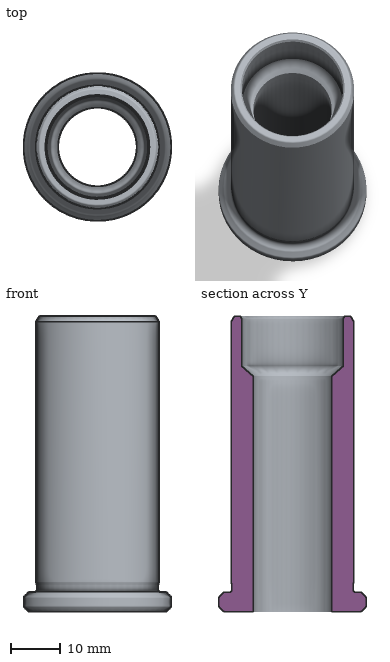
import cadquery as cq
import math

total_height = 60.0
flange_radius = 30.0 / 2
body_radius = 25.0 / 2
neck_radius = 24.7 / 2
bore_radius = 15.9 / 2
counterbore_radius = 20.5 / 2

flange_height = 4.1
flange_chamfer = 1.1
flange_edge_round = 0.5
neck_fillet = 0.35
neck_top = 5.6
body_bottom = 6.1

mouth_chamfer_height = 1.2
mouth_chamfer_width = mouth_chamfer_height * math.tan(math.radians(30))
mouth_edge_round = 0.35
counterbore_depth = 10.15
cone_depth = 12.2
lip_chamfer_width = 0.3
lip_chamfer_height = lip_chamfer_width / math.tan(math.radians(30))

counterbore_floor = total_height - counterbore_depth
cone_bottom = total_height - cone_depth


def flange():
    """Disc with equal chamfers above and below, all their corners softened."""
    chamfer_top = flange_height - flange_chamfer
    face_radius = flange_radius - flange_chamfer
    tangent = flange_edge_round * math.tan(math.radians(45) / 2)
    diagonal = tangent * math.sin(math.radians(45))
    return (
        cq.Workplane("XZ")
        .lineTo(face_radius - tangent, 0)
        .radiusArc((face_radius + diagonal, diagonal), -flange_edge_round)
        .lineTo(flange_radius - diagonal, flange_chamfer - diagonal)
        .radiusArc((flange_radius, flange_chamfer + tangent), -flange_edge_round)
        .lineTo(flange_radius, chamfer_top - tangent)
        .radiusArc((flange_radius - diagonal, chamfer_top + diagonal), -flange_edge_round)
        .lineTo(face_radius + diagonal, flange_height - diagonal)
        .radiusArc((face_radius - tangent, flange_height), -flange_edge_round)
        .lineTo(0, flange_height)
        .close()
        .revolve(360, (0, 0, 0), (0, 1, 0))
    )


def tube():
    """Relief neck, main cylinder and softened mouth chamfer."""
    mouth_radius = body_radius - mouth_chamfer_width
    mouth_bottom = total_height - mouth_chamfer_height
    tangent = mouth_edge_round * math.tan(math.radians(60) / 2)
    round_start = (
        mouth_radius + tangent * math.sin(math.radians(30)),
        total_height - tangent * math.cos(math.radians(30)),
    )
    return (
        cq.Workplane("XZ")
        .moveTo(0, flange_height)
        .lineTo(neck_radius + neck_fillet, flange_height)
        .radiusArc((neck_radius, flange_height + neck_fillet), neck_fillet)
        .lineTo(neck_radius, neck_top)
        .lineTo(body_radius, body_bottom)
        .lineTo(body_radius, mouth_bottom)
        .lineTo(*round_start)
        .radiusArc((mouth_radius - tangent, total_height), -mouth_edge_round)
        .lineTo(0, total_height)
        .close()
        .revolve(360, (0, 0, 0), (0, 1, 0))
    )


def bore():
    """Through bore, conical seat, counterbore and lip chamfer."""
    return (
        cq.Workplane("XZ")
        .lineTo(bore_radius, 0)
        .lineTo(bore_radius, cone_bottom)
        .lineTo(counterbore_radius, counterbore_floor)
        .lineTo(counterbore_radius, total_height - lip_chamfer_height)
        .lineTo(counterbore_radius + lip_chamfer_width, total_height)
        .lineTo(0, total_height)
        .close()
        .revolve(360, (0, 0, 0), (0, 1, 0))
    )


result = flange().union(tube()).cut(bore())